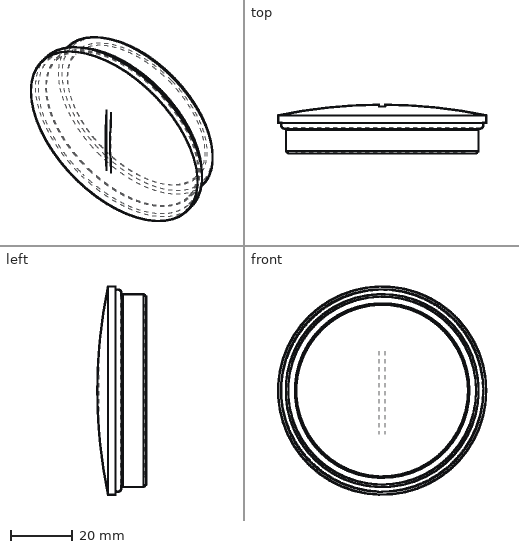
import cadquery as cq


flange_radius = 68.0 / 2
flange_thickness = 2.5
total_depth = 16.0

plug_radius = 63.0 / 2
plug_face_radius = 61.3 / 2
plug_length = 10.0
plug_chamfer = plug_radius - plug_face_radius

groove_radius = 31.0
groove_width = 2.0
groove_edge_chamfer = 0.35

ring_tube_radius = 1.2
ring_centre_radius = 31.85
ring_centre_offset = 0.7

recess_rim_radius = 28.5
recess_floor_radius = 28.0
recess_depth = 0.5

slot_width = 1.9
slot_depth = 0.6

flange_top = flange_thickness
dome_apex = total_depth - plug_length
dome_height = dome_apex - flange_top
dome_radius = (flange_radius**2 + dome_height**2) / (2 * dome_height)
plug_face = -plug_length


def make_body():
    """Revolve the plug, groove, flange and dome, with the recess in the plug face."""
    dome_mid_radius = flange_radius / 2
    dome_mid_height = dome_apex - dome_radius + (dome_radius**2 - dome_mid_radius**2) ** 0.5
    profile = (
        cq.Workplane("XY")
        .moveTo(0, plug_face + recess_depth)
        .lineTo(recess_floor_radius, plug_face + recess_depth)
        .lineTo(recess_rim_radius, plug_face)
        .lineTo(plug_face_radius, plug_face)
        .lineTo(plug_radius, plug_face + plug_chamfer)
        .lineTo(plug_radius, -groove_width - groove_edge_chamfer)
        .lineTo(plug_radius - groove_edge_chamfer, -groove_width)
        .lineTo(groove_radius, -groove_width)
        .lineTo(groove_radius, 0)
        .lineTo(flange_radius, 0)
        .lineTo(flange_radius, flange_top)
        .threePointArc((dome_mid_radius, dome_mid_height), (0, dome_apex))
        .close()
    )
    return profile.revolve(360, (0, 0, 0), (0, 1, 0))


def make_o_ring():
    """O-ring that is partly sunk into the underside of the flange."""
    section = (
        cq.Workplane("XY")
        .transformed(rotate=(0, 0, 180), offset=(ring_centre_radius, -ring_centre_offset, 0))
        .circle(ring_tube_radius)
    )
    return section.revolve(360, (ring_centre_radius, 0, 0), (ring_centre_radius, 1, 0))


def make_slot():
    """Flat-bottomed cutter running along Z through the crown of the dome."""
    cutter = cq.Workplane("XY").box(slot_width, 2 * slot_depth, 2 * flange_radius)
    return cutter.translate((0, dome_apex, 0))


result = make_body().union(make_o_ring()).cut(make_slot())